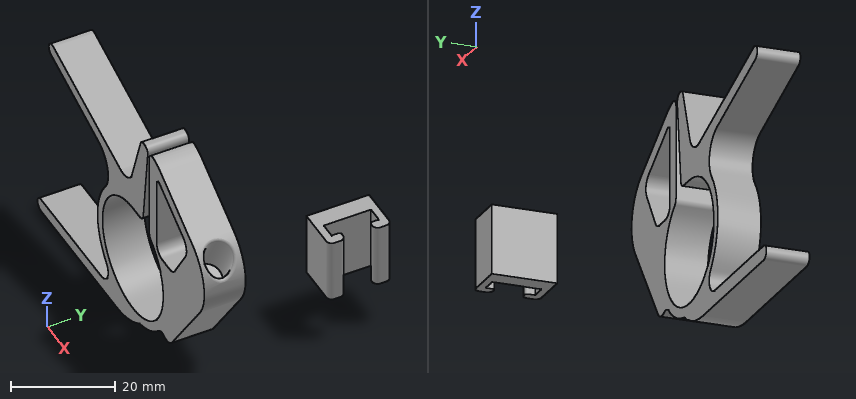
import cadquery as cq
import math


depth = 8.95
bore_radius = 12.75
ring_radius = 14.85

lever_thickness = 3.0
lower_tip_x = -40.0
lower_bottom_z = -ring_radius - lever_thickness
lower_blend_radius = 3.0
web_start_x = -7.0
web_end_angle = -79.5

lever_slope = 18.6
upper_line_distance = 12.95
upper_tip_distance = 40.5
upper_blend_radius = 6.0
finger_valley_radius = 3.85
finger_tip_left = (3.6, 32.8)
finger_tip_right = (6.4, 32.55)
finger_back_slope = 71.6
finger_foot_x = 4.2
finger_corner_radius = 1.4
finger_tip_radius = 1.3

frame_left_x = 6.85
frame_top_z = 32.6
frame_ridge = (10.5, 31.6)
frame_slope = 31.4
frame_edge_slope = 54.9
shoulder_center = (19.45, 13.8)
shoulder_radius = 10.5
heel_point = (13.1, -9.9)
heel_slope = 25.0
ring_heel_corner = (11.05, -9.8)
heel_radius = 2.65
heel_blend_radius = 1.95
ridge_radius = 10.0
frame_corner_radius = 1.5
mouth_radius = 1.5

window_left_x = 10.0
window_bottom_z = 9.1
window_wall = 3.0
window_face_point = (19.95, 14.1)
window_face_slope = 58.0
window_radii = (2.4, 2.4, 3.0, 0.85)

hole_diameter = 6.1
hole_mouth_angle = 37.0
hole_angle = 62.0
hole_depth = 10.5
hole_y = 4.3
hole_mouth_fillet = 0.55

clip_x = 10.85
clip_length = 9.5
clip_width = 13.6
clip_height = 14.35
clip_bottom_z = -7.9
clip_far_y = 45.5
clip_back = 4.05
clip_wall = 1.7
clip_lip_thickness = 2.2
clip_lip_reach = 3.65
clip_outer_radius = 1.2
clip_inner_radius = 0.55


def polar(length, angle):
    """Vector of a given length at an angle in degrees."""
    return (length * math.cos(math.radians(angle)), length * math.sin(math.radians(angle)))


def add(point, vector):
    return (point[0] + vector[0], point[1] + vector[1])


def meet(point_a, angle_a, point_b, angle_b):
    """Intersection of two lines, each given by a point and an angle."""
    ax, az = polar(1, angle_a)
    bx, bz = polar(1, angle_b)
    dx = point_b[0] - point_a[0]
    dz = point_b[1] - point_a[1]
    along = (dx * bz - dz * bx) / (ax * bz - az * bx)
    return (point_a[0] + along * ax, point_a[1] + along * az)


def prism(outline):
    """Extrude a closed XZ outline from Y = 0 to the clamp depth."""
    return outline.close().extrude(-depth)


def round_edges(body, direction, corners):
    """Round the edge nearest to each (point, radius) pair."""
    for point, radius in corners:
        edge = cq.selectors.NearestToPointSelector(point)
        body = body.edges(direction).edges(edge).fillet(radius)
    return body


def rounded_prism(points, radii):
    """Prism over a polygon, with one radius per vertex; zero keeps it sharp."""
    body = prism(cq.Workplane("XZ").polyline(points))
    corners = [((x, depth / 2, z), r) for (x, z), r in zip(points, radii) if r > 0]
    return round_edges(body, "|Y", corners)


def ring_blend(normal_angle, line_distance, radius, side):
    """Concave corner fill between the ring and a lever face.

    The lever face lies at line_distance from the ring axis along normal_angle.
    The side is +1 or -1, the direction of the lever from that normal.
    """
    reach = ring_radius + radius
    offset = line_distance - radius
    along = math.sqrt(reach**2 - offset**2)
    center = add(polar(offset, normal_angle), polar(along, normal_angle + side * 90))
    on_lever = add(center, polar(radius, normal_angle))
    ring_angle = math.degrees(math.atan2(center[1], center[0]))
    on_ring = polar(ring_radius, ring_angle)
    chord_middle = ((on_lever[0] + on_ring[0]) / 2, (on_lever[1] + on_ring[1]) / 2)
    middle_angle = math.degrees(math.atan2(chord_middle[1] - center[1], chord_middle[0] - center[0]))
    middle = add(center, polar(radius, middle_angle))
    inside = polar(bore_radius, ring_angle)
    crossing = math.sqrt(ring_radius**2 - line_distance**2)
    face_end = add(polar(line_distance, normal_angle), polar(crossing, normal_angle + side * 90))
    outline = cq.Workplane("XZ").moveTo(*on_lever).threePointArc(middle, on_ring)
    return prism(outline.lineTo(*inside).lineTo(*face_end))


def round_tip(center):
    """Full round that ends a lever."""
    return cq.Workplane("XZ").center(*center).circle(lever_thickness / 2).extrude(-depth)


def make_ring():
    """Full disc with the jaw gap removed; the bore is cut later."""
    disc = cq.Workplane("XZ").circle(ring_radius).extrude(-depth)
    gap = cq.Workplane("XY").box(frame_left_x, depth, ring_radius, centered=False)
    return disc.cut(gap)


def make_lower_lever():
    tip_center_x = lower_tip_x + lever_thickness / 2
    web_end = polar(ring_radius, web_end_angle)
    lever = prism(
        cq.Workplane("XZ")
        .moveTo(tip_center_x, -ring_radius)
        .lineTo(tip_center_x, lower_bottom_z)
        .lineTo(web_start_x, lower_bottom_z)
        .tangentArcPoint(web_end, relative=False)
        .lineTo(0, -bore_radius)
        .lineTo(0, -ring_radius)
    )
    lever = lever.union(round_tip((tip_center_x, -ring_radius - lever_thickness / 2)))
    return lever.union(ring_blend(-90, ring_radius, lower_blend_radius, -1))


def make_upper_lever():
    normal = 90 - lever_slope
    face_end = polar(upper_line_distance, normal)
    tip_bottom = add(face_end, polar(upper_tip_distance, 180 - lever_slope))
    tip_top = add(tip_bottom, polar(lever_thickness, normal))
    valley = meet(tip_top, -lever_slope, finger_tip_left, finger_back_slope)
    foot = (finger_foot_x, bore_radius)
    points = [tip_bottom, tip_top, valley, finger_tip_left, finger_tip_right, foot, (0, bore_radius),
              meet(tip_bottom, -lever_slope, (0, 0), 90)]
    radii = [0, 0, finger_valley_radius, finger_tip_radius, finger_tip_radius,
             finger_corner_radius, 0, 0]
    lever = rounded_prism(points, radii)
    lever = lever.union(round_tip(add(tip_bottom, polar(lever_thickness / 2, normal))))
    return lever.union(ring_blend(normal, upper_line_distance, upper_blend_radius, 1))


def make_frame():
    top_edge_point = add(shoulder_center, polar(shoulder_radius, 90 - frame_slope))
    right_edge_point = add(shoulder_center, polar(shoulder_radius, frame_edge_slope - 90))
    ridge = meet(top_edge_point, -frame_slope, frame_ridge, 90)
    shoulder = meet(top_edge_point, -frame_slope, right_edge_point, frame_edge_slope)
    heel = meet(right_edge_point, frame_edge_slope, heel_point, -heel_slope)
    inner_heel = meet(heel_point, -heel_slope, (frame_left_x, 0), 90)
    points = [(frame_left_x, frame_top_z), ridge, shoulder, heel, inner_heel]
    radii = [frame_corner_radius, ridge_radius, shoulder_radius, heel_radius, 0]
    return rounded_prism(points, radii)


def make_window():
    top_point = add(shoulder_center, polar(shoulder_radius - window_wall, 90 - frame_slope))
    bottom_left = (window_left_x, window_bottom_z)
    bottom_right = meet(bottom_left, 0, window_face_point, window_face_slope)
    top_right = meet(window_face_point, window_face_slope, top_point, -frame_slope)
    top_left = meet(bottom_left, 90, top_point, -frame_slope)
    return rounded_prism([bottom_left, bottom_right, top_right, top_left], window_radii)


def cut_shoulder_hole(clamp):
    """Cut the blind hole and round its mouth."""
    mouth = add(shoulder_center, polar(shoulder_radius, hole_mouth_angle))
    start = add(mouth, polar(hole_diameter, hole_angle))
    axis_x, axis_z = polar(1, hole_angle)
    plane = cq.Plane(origin=(start[0], hole_y, start[1]), xDir=(0, 1, 0), normal=(-axis_x, 0, -axis_z))
    drill = cq.Workplane(plane).circle(hole_diameter / 2).extrude(hole_diameter + hole_depth)
    clamp = clamp.cut(drill)
    mouth_edge = cq.selectors.NearestToPointSelector((mouth[0], hole_y, mouth[1]))
    return clamp.edges(mouth_edge).fillet(hole_mouth_fillet)


def make_clamp():
    clamp = make_ring().union(make_frame())
    clamp = round_edges(clamp, "|Y", [((ring_heel_corner[0], depth / 2, ring_heel_corner[1]), heel_blend_radius)])
    clamp = clamp.union(make_lower_lever()).union(make_upper_lever())
    clamp = clamp.cut(cq.Workplane("XZ").circle(bore_radius).extrude(-depth))
    mouth_z = math.sqrt(bore_radius**2 - frame_left_x**2)
    clamp = round_edges(clamp, "|Y", [((frame_left_x, depth / 2, mouth_z), mouth_radius)])
    return cut_shoulder_hole(clamp.cut(make_window()))


def make_clip():
    """C-shaped clip, open toward +X, with rounded lips."""
    near_y = clip_far_y - clip_width
    middle_y = clip_far_y - clip_width / 2
    end_x = clip_x + clip_length
    lip_x = end_x - clip_lip_thickness
    cavity_length = clip_length - clip_back - clip_lip_thickness
    base = cq.Workplane("XY", origin=(0, middle_y, clip_bottom_z))
    block = base.center(clip_x + clip_length / 2, 0).rect(clip_length, clip_width).extrude(clip_height)
    cavity = base.center(lip_x - cavity_length / 2, 0)
    cavity = cavity.rect(cavity_length, clip_width - 2 * clip_wall).extrude(clip_height)
    opening = base.center(end_x - clip_lip_thickness / 2, 0)
    opening = opening.rect(clip_lip_thickness, clip_width - 2 * clip_lip_reach).extrude(clip_height)
    clip = block.cut(cavity).cut(opening)
    middle_z = clip_bottom_z + clip_height / 2
    corners = []
    for side_y, lip_y in ((near_y, near_y + clip_lip_reach), (clip_far_y, clip_far_y - clip_lip_reach)):
        corners.append(((end_x, side_y, middle_z), clip_outer_radius))
        corners.append(((end_x, lip_y, middle_z), clip_outer_radius))
        corners.append(((lip_x, lip_y, middle_z), clip_inner_radius))
    return round_edges(clip, "|Z", corners)


clamp = make_clamp()
clip = make_clip()
result = cq.Compound.makeCompound([clamp.val(), clip.val()])